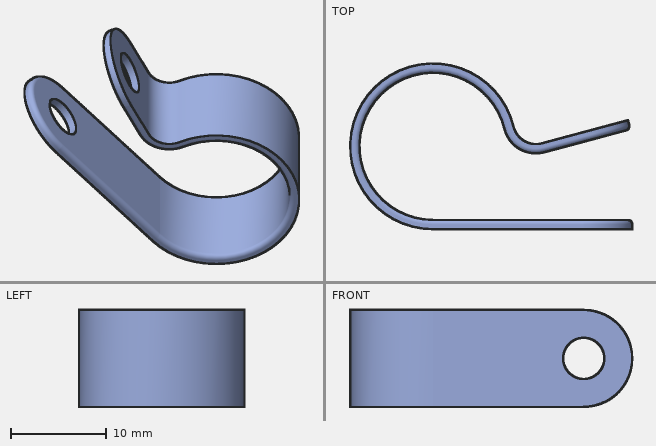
import cadquery as cq
import math

width = 10.2
thickness = 1.0
edge_round = thickness / 2
hole_diameter = 4.3
tab_radius = width / 2

loop_outer_radius = 8.7
loop_inner_radius = loop_outer_radius - thickness
loop_end_angle = 13.8

foot_hole_x = 15.8

bend_radius = 2.4
arm_angle = 15.0
arm_length = 4.27


def polar(center, radius, angle):
    """Point at the given radius and angle (degrees) from a centre."""
    a = math.radians(angle)
    return (center[0] + radius * math.cos(a), center[1] + radius * math.sin(a))


loop_center = (0, 0)
bend_center = polar(loop_center, loop_outer_radius + bend_radius, loop_end_angle)
bend_start_angle = loop_end_angle + 180
bend_end_angle = arm_angle + 270
bend_mid_angle = (bend_start_angle + bend_end_angle) / 2
loop_mid_angle = (loop_end_angle + 270) / 2


def arm_point(bend_side_radius):
    """Point at the end of the straight arm, on the face leaving the bend at this radius."""
    return polar(polar(bend_center, bend_side_radius, bend_end_angle), arm_length, arm_angle)


def bent_strip():
    """Strip of constant thickness, from the foot to the arm, without their rounded ends."""
    outer = loop_outer_radius
    inner = loop_inner_radius
    far_bend_radius = bend_radius + thickness
    return (
        cq.Workplane("XY")
        .workplane(offset=-width / 2)
        .moveTo(foot_hole_x, -outer)
        .lineTo(0, -outer)
        .threePointArc(
            polar(loop_center, outer, loop_mid_angle),
            polar(loop_center, outer, loop_end_angle),
        )
        .threePointArc(
            polar(bend_center, bend_radius, bend_mid_angle),
            polar(bend_center, bend_radius, bend_end_angle),
        )
        .lineTo(*arm_point(bend_radius))
        .lineTo(*arm_point(far_bend_radius))
        .lineTo(*polar(bend_center, far_bend_radius, bend_end_angle))
        .threePointArc(
            polar(bend_center, far_bend_radius, bend_mid_angle),
            polar(loop_center, inner, loop_end_angle),
        )
        .threePointArc(
            polar(loop_center, inner, loop_mid_angle),
            (0, -inner),
        )
        .lineTo(foot_hole_x, -inner)
        .close()
        .extrude(width)
    )


def tab_end(face_point, angle):
    """Half disc that rounds off a strip end; face_point is its centre on the strip's lower face."""
    a = math.radians(angle)
    plane = cq.Plane(
        origin=(face_point[0], face_point[1], 0),
        xDir=(math.cos(a), math.sin(a), 0),
        normal=(-math.sin(a), math.cos(a), 0),
    )
    return (
        cq.Workplane(plane)
        .moveTo(0, -tab_radius)
        .threePointArc((tab_radius, 0), (0, tab_radius))
        .close()
        .extrude(thickness)
    )


def screw_hole():
    """Cylinder along Y that passes through the foot and the arm in line."""
    return (
        cq.Workplane("XZ", origin=(foot_hole_x, loop_outer_radius, 0))
        .circle(hole_diameter / 2)
        .extrude(2 * loop_outer_radius)
    )


foot_end = tab_end((foot_hole_x, -loop_outer_radius), 0)
arm_end = tab_end(arm_point(bend_radius + thickness), arm_angle)
clip = bent_strip().union(foot_end).union(arm_end).clean()

foot_inner_edge = (foot_hole_x / 2, -loop_inner_radius, width / 2)
clip = clip.edges(cq.NearestToPointSelector(foot_inner_edge)).fillet(edge_round)

result = clip.cut(screw_hole())